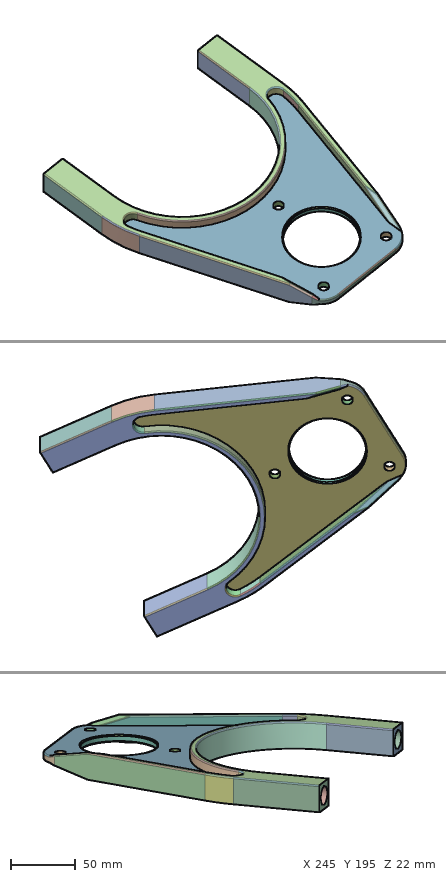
import cadquery as cq
import math

length = 245.0
width = 195.0
thickness = 22.0
plate_thickness = 6.0
half_width = width / 2
half_thickness = thickness / 2
half_plate = plate_thickness / 2
edge_radius = 1.0
touch_tolerance = 0.02

arm_width = 22.0
bore_x = 55.1
bore_radius = half_width - arm_width
arm_end_overrun = 2.5

mount_y = 10.0
mount_half_width = 45.8
mount_corner_radius = 19.0
flare_floor_half_width = 46.5
flare_half_width = 55.9

shoulder_x = {1: 83.0, -1: 80.0}
shoulder_radius = half_width

rib_width = 5.0
tip_x = {1: 74.7, -1: 82.3}

main_hole_x = 195.0
main_hole_radius = 29.6
main_hole_chamfer = 1.0
bolt_radius = 4.2
inner_bolt_x = 149.0
outer_bolt_x = 230.8
outer_bolt_offset = 35.0
bolt_points = [
    (inner_bolt_x, mount_y),
    (outer_bolt_x, mount_y + outer_bolt_offset),
    (outer_bolt_x, mount_y - outer_bolt_offset),
]
arm_hole_radius = 7.4
arm_hole_depth = 49.0
drill_half_angle = math.radians(59)


def side_angle(side):
    """Angle between the X axis and the slanted flank on one side."""
    drop = half_width - abs(mount_y + side * mount_half_width)
    return math.atan2(drop, length - shoulder_x[side])


def shoulder_centre_x(side):
    """X of the shoulder arc centre, which lies on the fork axis."""
    return shoulder_x[side] - shoulder_radius * math.tan(side_angle(side) / 2)


def extrude_centred(sketch, height):
    return sketch.extrude(height).translate((0, 0, -height / 2))


def make_blank():
    outline = cq.Workplane("XY").polyline([
        (0, half_width),
        (shoulder_x[1], half_width),
        (length, mount_y + mount_half_width),
        (length, mount_y - mount_half_width),
        (shoulder_x[-1], -half_width),
        (0, -half_width),
    ]).close()
    blank = extrude_centred(outline, thickness)
    for side in (1, -1):
        shoulder = cq.selectors.NearestToPointSelector((shoulder_x[side], side * half_width, 0))
        blank = blank.edges("|Z").edges(shoulder).fillet(shoulder_radius)
    return blank.edges("|Z and >X").fillet(mount_corner_radius)


def make_fork_opening():
    outline = (
        cq.Workplane("XY")
        .moveTo(-arm_end_overrun, bore_radius)
        .lineTo(bore_x, bore_radius)
        .threePointArc((bore_x + bore_radius, 0), (bore_x, -bore_radius))
        .lineTo(-arm_end_overrun, -bore_radius)
        .close()
    )
    return extrude_centred(outline, 2 * thickness)


def tip_points(side):
    """Points of one side of the recess, from its rounded tip to the end of its flank."""
    inner = bore_radius + rib_width
    outer = shoulder_radius - rib_width
    arc_x = shoulder_centre_x(side)
    angle = side_angle(side)

    offset = (arc_x - bore_x) * (2 * tip_x[side] - arc_x - bore_x)
    radius = (outer - inner) / 2 + offset / (2 * (outer + inner))
    from_bore = tip_x[side] - bore_x
    from_arc = tip_x[side] - arc_x
    centre_y = math.sqrt((inner + radius) ** 2 - from_bore ** 2)
    bore_angle = math.atan2(centre_y, from_bore)
    arc_angle = math.atan2(centre_y, from_arc)
    flank_angle = math.pi / 2 - angle
    middle_angle = (arc_angle + flank_angle) / 2

    def on_circle(centre_x, size, theta):
        return (centre_x + size * math.cos(theta), side * size * math.sin(theta))

    flank_start = on_circle(arc_x, outer, flank_angle)
    flank_drop = math.tan(angle) * (length - flank_start[0])
    return {
        "bore": on_circle(bore_x, inner, bore_angle),
        "cap": (tip_x[side] - radius, side * centre_y),
        "arc_start": on_circle(arc_x, outer, arc_angle),
        "arc_middle": on_circle(arc_x, outer, middle_angle),
        "flank_start": flank_start,
        "flank_end": (length, flank_start[1] - side * flank_drop),
    }


def make_recess():
    """Recess volume above the plate on the +Z face."""
    upper = tip_points(1)
    lower = tip_points(-1)
    return (
        cq.Workplane("XY", origin=(0, 0, half_plate))
        .moveTo(*lower["bore"])
        .threePointArc((bore_x + bore_radius + rib_width, 0), upper["bore"])
        .threePointArc(upper["cap"], upper["arc_start"])
        .threePointArc(upper["arc_middle"], upper["flank_start"])
        .lineTo(*upper["flank_end"])
        .lineTo(*lower["flank_end"])
        .lineTo(*lower["flank_start"])
        .threePointArc(lower["arc_middle"], lower["arc_start"])
        .threePointArc(lower["cap"], lower["bore"])
        .close()
        .extrude(half_thickness)
    )


def make_flare():
    """Channel along X with sloped sides that brings the ribs down to the plate."""
    start_x = main_hole_x - main_hole_radius
    return (
        cq.Workplane("YZ", origin=(start_x, 0, 0))
        .polyline([
            (mount_y - flare_floor_half_width, half_plate),
            (mount_y + flare_floor_half_width, half_plate),
            (mount_y + flare_half_width, half_thickness),
            (mount_y - flare_half_width, half_thickness),
        ])
        .close()
        .extrude(length)
    )


def round_edges(body, outer_walls):
    """Round every convex edge: the outer rims, and the ribs along the recesses and flares."""

    def is_convex_edge(edge):
        middle = edge.positionAt(0.5)
        point = cq.Vertex.makeVertex(*middle.toTuple())
        at_arm_end = middle.x < touch_tolerance
        above_plate = abs(middle.z) > half_plate + touch_tolerance
        on_outer_wall = any(wall.distance(point) < touch_tolerance for wall in outer_walls)
        return not at_arm_end and (above_plate or on_outer_wall)

    convex_edges = [edge for edge in body.edges("not |Z").vals() if is_convex_edge(edge)]
    return body.newObject(convex_edges).fillet(edge_radius)


def make_main_hole():
    """Through hole with a chamfer at each face of the plate."""
    hole = cq.Workplane("XY").center(main_hole_x, mount_y)
    bore = extrude_centred(hole.circle(main_hole_radius), thickness)
    countersink = (
        cq.Workplane("XY", origin=(main_hole_x, mount_y, half_plate))
        .circle(main_hole_radius + main_hole_chamfer)
        .workplane(offset=-main_hole_chamfer)
        .circle(main_hole_radius)
        .loft()
    )
    return bore.union(countersink).union(countersink.mirror("XY"))


def make_bolt_holes():
    circles = cq.Workplane("XY").pushPoints(bolt_points).circle(bolt_radius)
    return extrude_centred(circles, thickness)


def make_arm_hole(side):
    """Blind drilled hole with a conical bottom, along X into one arm."""
    cone_depth = arm_hole_radius / math.tan(drill_half_angle)
    return (
        cq.Workplane("XY")
        .polyline([
            (0, 0),
            (0, arm_hole_radius),
            (arm_hole_depth, arm_hole_radius),
            (arm_hole_depth + cone_depth, 0),
        ])
        .close()
        .revolve(360, (0, 0, 0), (1, 0, 0))
        .translate((0, side * (half_width - arm_width / 2), 0))
    )


blank = make_blank()
fork_opening = make_fork_opening()
walls = blank.faces("#Z").vals() + fork_opening.faces("#Z").vals()

body = blank.cut(fork_opening)
for cutter in (make_recess(), make_flare()):
    body = body.cut(cutter).cut(cutter.mirror("XY"))
body = round_edges(body, walls)

body = body.cut(make_main_hole())
body = body.cut(make_bolt_holes())
for side in (1, -1):
    body = body.cut(make_arm_hole(side))

result = body